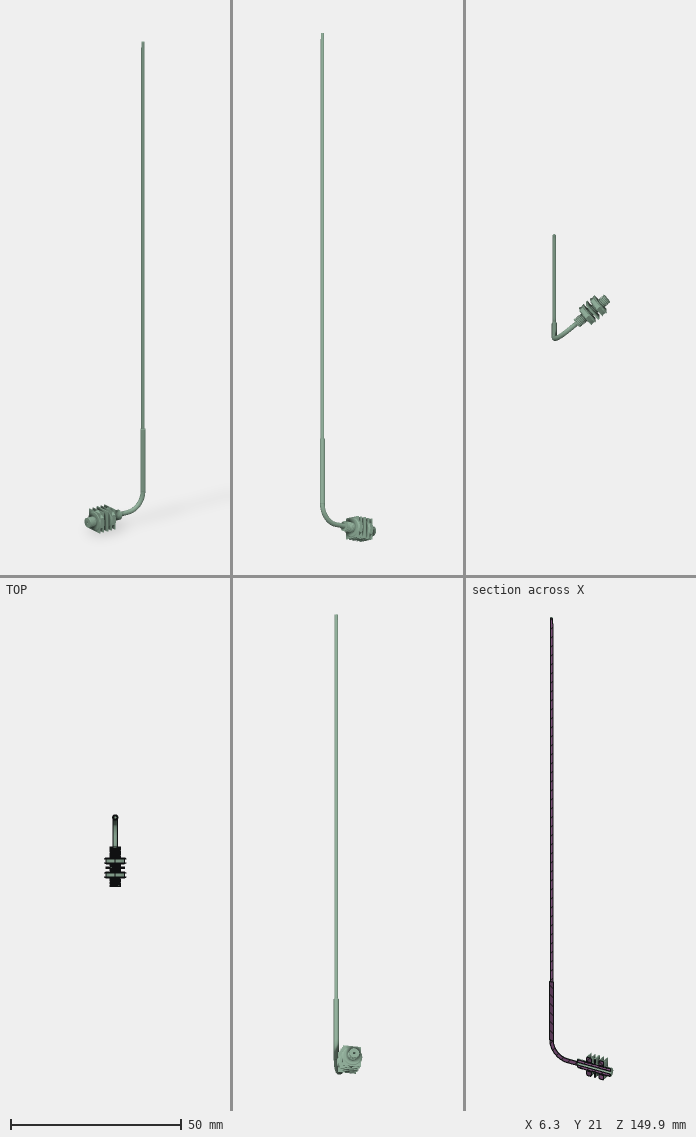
import cadquery as cq
import math

overall_height = 149.9
overall_depth = 21.0

nut_across_corners = 6.3
nut_across_flats = nut_across_corners * math.cos(math.pi / 6)
nut_thickness = 1.8
nut_chamfer_depth = 0.3
nut_chamfer_width = 0.52
front_nut_setback = 2.4
rear_nut_setback = 6.6

plate_width = nut_across_flats
plate_height = nut_across_corners
nut_plate_thickness = 0.1
washer_thickness = 0.5
washer_setback = 5.2

barrel_length = 11.5
barrel_radius = 1.5
bore_radius = 0.37
thread_pitch = 0.5
thread_depth = 0.3
groove_width = 0.36
groove_end_margin = 0.22
groove_outer_overrun = 0.05

tube_radius = 0.7
bend_radius = 5.4
sleeve_radius = 0.7
sleeve_length = 19.6
sleeve_end_round = 0.1
whip_radius = 0.51
tip_radius = 0.48
tip_length = 1.8

barrel_front = sleeve_radius - overall_depth
barrel_rear = barrel_front + barrel_length
sleeve_top = bend_radius + sleeve_length
whip_top = overall_height - nut_across_corners / 2
whip_length = whip_top - sleeve_top


def plane_at_y(y):
    """Work plane facing -Y at the given Y; a negative extrusion runs toward +Y."""
    return cq.Workplane("XZ", origin=(0, y, 0))


def cylinder_along_y(front, length, radius):
    return plane_at_y(front).circle(radius).extrude(-length)


def plate_along_y(front, thickness):
    return plane_at_y(front).rect(plate_width, plate_height).extrude(-thickness)


def make_thread_groove():
    """V-shaped helical groove around Z, stopping just short of both barrel ends."""
    helix = cq.Wire.makeHelix(thread_pitch, barrel_length - 2 * groove_end_margin, barrel_radius)
    outer_radius = barrel_radius + groove_outer_overrun
    outer_half_width = groove_width / 2 * (1 + groove_outer_overrun / thread_depth)
    profile = (
        cq.Workplane("XZ")
        .moveTo(barrel_radius - thread_depth, 0)
        .lineTo(outer_radius, outer_half_width)
        .lineTo(outer_radius, -outer_half_width)
        .close()
    )
    groove = profile.sweep(cq.Workplane("XY").newObject([helix]), isFrenet=True)
    return groove.translate((0, 0, groove_end_margin))


def make_barrel():
    """Threaded barrel with a narrow bore; made along Z, then laid along Y."""
    upright = cq.Workplane("XY").circle(barrel_radius).extrude(barrel_length).cut(make_thread_groove())
    laid = upright.rotate((0, 0, 0), (1, 0, 0), -90).translate((0, barrel_front, 0))
    return laid.cut(cylinder_along_y(barrel_front, barrel_length, bore_radius))


def make_nut(setback):
    """Hex core between two conical ends, each backed by a thin rectangular plate."""
    front = barrel_front + setback
    core_front = front + nut_chamfer_depth
    core_length = nut_thickness - 2 * nut_chamfer_depth
    core_rear = core_front + core_length

    core = (
        plane_at_y(core_front)
        .polygon(6, nut_across_corners)
        .extrude(-core_length)
        .rotate((0, 0, 0), (0, 1, 0), 90)
    )
    cones = (
        cylinder_along_y(front, nut_thickness, nut_across_corners / 2)
        .faces("<Y or >Y")
        .chamfer(nut_chamfer_depth, nut_chamfer_width)
        .cut(cylinder_along_y(core_front, core_length, nut_across_corners))
    )
    front_plate = plate_along_y(core_front - nut_plate_thickness, nut_plate_thickness)
    rear_plate = plate_along_y(core_rear, nut_plate_thickness)
    thread_hole = cylinder_along_y(front, nut_thickness, barrel_radius)
    return core.union(cones).union(front_plate).union(rear_plate).cut(thread_hole)


def make_washer():
    front = barrel_front + washer_setback
    hole = cylinder_along_y(front, washer_thickness, barrel_radius)
    return plate_along_y(front, washer_thickness).cut(hole)


def make_tube():
    """Quarter bend from the foot of the sleeve to the rear of the barrel."""
    path = (
        cq.Workplane("YZ")
        .moveTo(0, bend_radius)
        .radiusArc((-bend_radius, 0), bend_radius)
        .lineTo(barrel_rear, 0)
    )
    return cq.Workplane("XY", origin=(0, 0, bend_radius)).circle(tube_radius).sweep(path)


def make_sleeve():
    blank = cq.Workplane("XY", origin=(0, 0, bend_radius)).circle(sleeve_radius).extrude(sleeve_length)
    return blank.faces("<Z or >Z").edges().fillet(sleeve_end_round)


def make_whip():
    """Long thin rod with a slightly thinner tip."""
    shaft = cq.Workplane("XY", origin=(0, 0, sleeve_top)).circle(whip_radius).extrude(whip_length - tip_length)
    return shaft.faces(">Z").workplane().circle(tip_radius).extrude(tip_length)


barrel = make_barrel()
nuts = [make_nut(setback) for setback in (front_nut_setback, rear_nut_setback)]
washer = make_washer()
tube = make_tube()
sleeve = make_sleeve()
whip = make_whip()

result = cq.Compound.makeCompound(
    [
        barrel.val(),
        *[nut.val() for nut in nuts],
        washer.val(),
        tube.val(),
        sleeve.val(),
        whip.val(),
    ]
)